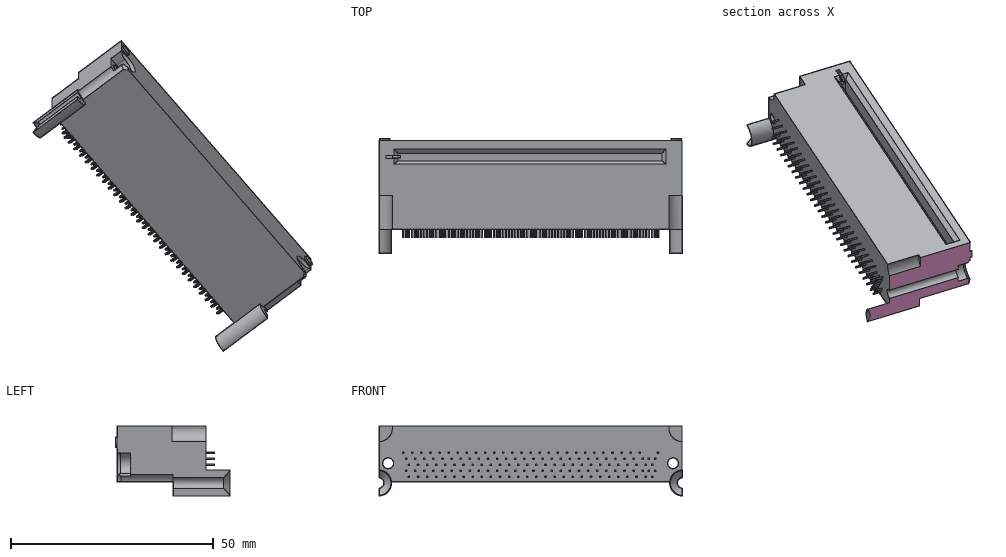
import cadquery as cq
import math

LENGTH = 74.8
RIGHT_LIP = 0.1
BODY_DEPTH = 21.9
BODY_HEIGHT = 13.8
BODY_LEFT = -LENGTH / 2
BODY_RIGHT = LENGTH / 2 - RIGHT_LIP
BODY_MID = (BODY_LEFT + BODY_RIGHT) / 2
HALF_BODY = (BODY_RIGHT - BODY_LEFT) / 2

BRACKET_OFFSET = HALF_BODY + 0.15
BRACKET_Z = -0.3
BRACKET_RADIUS = 3.2
BRACKET_BORE_RADIUS = 2.6 / 2
BRACKET_FRONT = -5.9
BRACKET_BACK = 8.15
BRACKET_MOUTH_DEPTH = 1.6
BRACKET_MOUTH_RADIUS = 3.1

GROOVE_RADIUS = 2.1
GROOVE_MOUTH = 0.9

CORNER_RADIUS = 3.45
CORNER_Z = BODY_HEIGHT - 0.45
CORNER_LENGTH = 8.4

HOLE_OFFSET = HALF_BODY - 2.25
HOLE_Z = 4.6
HOLE_DIAMETER = 2.6
POCKET_RADIUS = 2.55
POCKET_DEPTH = 3.3
POCKET_MOUTH = 0.75
RAMP_START = 0.5
RAMP_ANGLE = 48.0
POCKET_REACH = 3.0

BOSS_OFFSET = HALF_BODY - 1.4
BOSS_Z = 9.7
BOSS_DIAMETER = 2.6
BOSS_LENGTH = 0.45

SLOT_LEFT = -32.7
SLOT_RIGHT = 32.3
SLOT_FRONT = 16.9
SLOT_BACK = 18.7
SLOT_DEPTH = 7.5
BEVEL_DEPTH = 1.05
BEVEL_END = 1.05
BEVEL_FRONT = 0.8
BEVEL_BACK = 1.1

RECESS_LEFT = -35.7
RECESS_FRONT = 17.4
RECESS_BACK = 18.25
RECESS_DEPTH = 2.25
CONTACT_X = -33.05
CONTACT_FRONT = 17.65
CONTACT_RADIUS = 1.0
CONTACT_THICKNESS = 0.3
CONTACT_TOP = BODY_HEIGHT - 0.15

PIN_DIAMETER = 0.4
PIN_LENGTH = 2.0
PIN_COLUMNS = 27
PIN_PITCH = 2.25
PIN_ROW_PITCH = 1.5
PIN_TOP_Z = 7.2
PIN_OUTER_X = 31.4
PIN_STAGGER = 0.71
PIN_PAIR_GAP = 1.6
ROW_SHIFTS = [0, 1, 2, 1, 2]

OVERLAP = 0.75


def cylinder_y(x, z, radius, y_start, y_end):
    plane = cq.Workplane("XZ", origin=(x, y_start, z))
    return plane.circle(radius).extrude(y_start - y_end)


def cone_y(x, z, y_start, radius_start, y_end, radius_end):
    solid = cq.Solid.makeCone(
        radius_start, radius_end, abs(y_end - y_start),
        cq.Vector(x, y_start, z), cq.Vector(0, 1 if y_end > y_start else -1, 0),
    )
    return cq.Workplane(obj=solid)


def box(x0, x1, y0, y1, z0, z1):
    return cq.Workplane("XY").box(x1 - x0, y1 - y0, z1 - z0, centered=False).translate((x0, y0, z0))


def bracket(side):
    x = BODY_MID + side * BRACKET_OFFSET
    tube = cylinder_y(x, BRACKET_Z, BRACKET_RADIUS, BRACKET_FRONT, BRACKET_BACK)
    within_length = box(-LENGTH / 2, LENGTH / 2, BRACKET_FRONT, BRACKET_BACK,
                        BRACKET_Z - BRACKET_RADIUS, BRACKET_Z + BRACKET_RADIUS)
    return tube.intersect(within_length)


def bracket_bore(side):
    x = BODY_MID + side * BRACKET_OFFSET
    bore = cylinder_y(x, BRACKET_Z, BRACKET_BORE_RADIUS, BRACKET_FRONT, BRACKET_BACK)
    mouth = cone_y(x, BRACKET_Z, BRACKET_FRONT, BRACKET_MOUTH_RADIUS,
                   BRACKET_FRONT + BRACKET_MOUTH_DEPTH, BRACKET_BORE_RADIUS)
    return bore.union(mouth)


def groove(side):
    x = BODY_MID + side * BRACKET_OFFSET
    channel = cylinder_y(x, BRACKET_Z, GROOVE_RADIUS, BRACKET_BACK, BODY_DEPTH)
    mouth = cone_y(x, BRACKET_Z, BODY_DEPTH, GROOVE_RADIUS + GROOVE_MOUTH,
                   BODY_DEPTH - GROOVE_MOUTH, GROOVE_RADIUS)
    return channel.union(mouth)


def corner_slot(side):
    x = BODY_MID + side * BRACKET_OFFSET
    round_part = cylinder_y(x, CORNER_Z, CORNER_RADIUS, 0, CORNER_LENGTH)
    open_top = box(x - CORNER_RADIUS, x + CORNER_RADIUS, 0, CORNER_LENGTH,
                   CORNER_Z, BODY_HEIGHT)
    return round_part.union(open_top)


def rear_pocket(side):
    """Counterbore with a countersunk mouth; a level roof and a falling ramp run out to the end."""
    x = BODY_MID + side * HOLE_OFFSET
    y = BODY_DEPTH - POCKET_DEPTH
    bore = cylinder_y(x, HOLE_Z, POCKET_RADIUS, y, BODY_DEPTH)
    mouth = cone_y(x, HOLE_Z, BODY_DEPTH, POCKET_RADIUS + POCKET_MOUTH,
                   BODY_DEPTH - POCKET_MOUTH, POCKET_RADIUS)
    ramp_x = x + side * RAMP_START
    ramp_z = HOLE_Z - math.sqrt(POCKET_RADIUS ** 2 - RAMP_START ** 2)
    end_x = x + side * POCKET_REACH
    end_z = ramp_z - (POCKET_REACH - RAMP_START) * math.tan(math.radians(RAMP_ANGLE))
    outlet = (
        cq.Workplane("XZ", origin=(0, y, 0))
        .moveTo(x, HOLE_Z + POCKET_RADIUS)
        .lineTo(end_x, HOLE_Z + POCKET_RADIUS)
        .lineTo(end_x, end_z)
        .lineTo(ramp_x, ramp_z)
        .close()
        .extrude(-POCKET_DEPTH)
    )
    return bore.union(mouth).union(outlet)


def rectangle(x0, x1, y0, y1):
    return [(x0, y0), (x1, y0), (x1, y1), (x0, y1)]


def card_slot():
    slot = box(SLOT_LEFT, SLOT_RIGHT, SLOT_FRONT, SLOT_BACK, BODY_HEIGHT - SLOT_DEPTH, BODY_HEIGHT)
    mouth = (
        cq.Workplane("XY", origin=(0, 0, BODY_HEIGHT - BEVEL_DEPTH))
        .polyline(rectangle(SLOT_LEFT, SLOT_RIGHT, SLOT_FRONT, SLOT_BACK))
        .close()
        .workplane(offset=BEVEL_DEPTH)
        .polyline(rectangle(SLOT_LEFT - BEVEL_END, SLOT_RIGHT + BEVEL_END,
                            SLOT_FRONT - BEVEL_FRONT, SLOT_BACK + BEVEL_BACK))
        .close()
        .loft(ruled=True)
    )
    return slot.union(mouth)


def contact_recess():
    return box(RECESS_LEFT, SLOT_LEFT, RECESS_FRONT, RECESS_BACK, BODY_HEIGHT - RECESS_DEPTH, BODY_HEIGHT)


def contact():
    """Strip bent into an arch, with a long leg on the recess floor and a short one over the slot."""
    outer = CONTACT_RADIUS
    inner = CONTACT_RADIUS - CONTACT_THICKNESS
    centre_z = CONTACT_TOP - outer
    foot_z = BODY_HEIGHT - RECESS_DEPTH - OVERLAP
    return (
        cq.Workplane("XZ", origin=(0, CONTACT_FRONT, 0))
        .moveTo(CONTACT_X - outer, foot_z)
        .lineTo(CONTACT_X - outer, centre_z)
        .radiusArc((CONTACT_X, CONTACT_TOP), outer)
        .radiusArc((CONTACT_X + outer, centre_z), outer)
        .lineTo(CONTACT_X + inner, centre_z)
        .radiusArc((CONTACT_X - inner, centre_z), -inner)
        .lineTo(CONTACT_X - inner, foot_z)
        .close()
        .extrude(CONTACT_FRONT - RECESS_BACK)
    )


def contact_pins():
    """Staggered rows; each ends in a mirror of its first pin, paired where shifted one step."""
    points = []
    for row, shift in enumerate(ROW_SHIFTS):
        z = PIN_TOP_Z - row * PIN_ROW_PITCH
        outer = PIN_OUTER_X - shift * PIN_STAGGER
        for column in range(PIN_COLUMNS):
            points.append((BODY_MID - outer + column * PIN_PITCH, z))
        points.append((BODY_MID + outer, z))
        if shift == 1:
            points.append((BODY_MID + outer - PIN_PAIR_GAP, z))
    return (
        cq.Workplane("XZ", origin=(0, OVERLAP, 0))
        .pushPoints(points)
        .circle(PIN_DIAMETER / 2)
        .extrude(OVERLAP + PIN_LENGTH)
    )


def mounting_hole(side):
    x = BODY_MID + side * HOLE_OFFSET
    return cylinder_y(x, HOLE_Z, HOLE_DIAMETER / 2, 0, BODY_DEPTH)


def locating_boss(side):
    x = BODY_MID + side * BOSS_OFFSET
    return cylinder_y(x, BOSS_Z, BOSS_DIAMETER / 2, BODY_DEPTH - OVERLAP, BODY_DEPTH + BOSS_LENGTH)


result = box(BODY_LEFT, BODY_RIGHT, 0, BODY_DEPTH, 0, BODY_HEIGHT)
for side in (-1, 1):
    result = result.cut(corner_slot(side)).cut(groove(side))
    result = result.cut(rear_pocket(side)).cut(mounting_hole(side))
    result = result.union(bracket(side)).cut(bracket_bore(side))
    result = result.union(locating_boss(side))
result = result.cut(card_slot()).cut(contact_recess()).union(contact())
result = result.union(contact_pins())